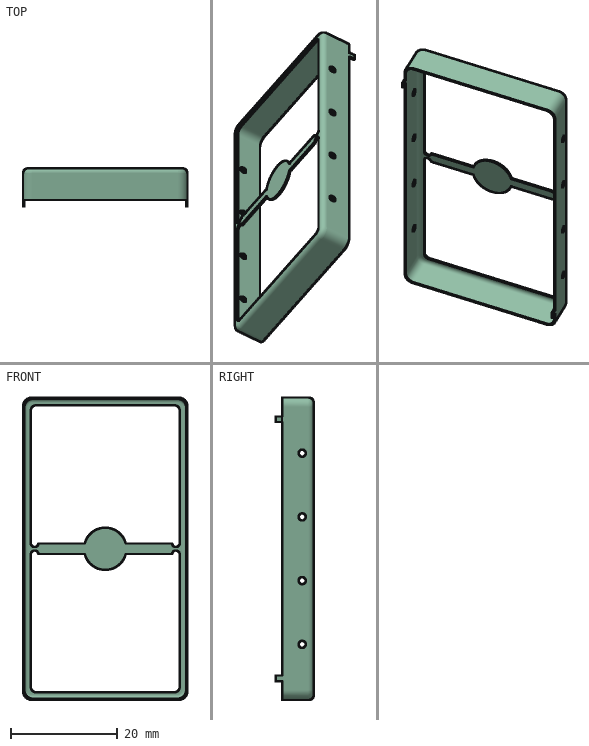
import cadquery as cq

WIDTH = 31.0
HEIGHT = 57.0
DEPTH = 6.0
SHEET = 0.3
CORNER_RADIUS = 1.8
BACK_EDGE_RADIUS = 1.0

LIP_WIDTH = 1.5
OPENING_CORNER_RADIUS = 1.0

STRIP_WIDTH = 2.0
DISC_DIAMETER = 8.0
NOTCH_RADIUS = 0.7
NECK_WIDTH = 0.7

HOLE_DIAMETER = 1.3
HOLE_PITCH = 12.0
HOLE_COUNT = 4
HOLE_FROM_BACK = 2.2

TAB_WIDTH = 1.1
TAB_LENGTH = 1.2
TAB_Z = 24.4


def rounded_block(inset, back_y, front_y, corner_radius):
    """Block inset from the outer outline, with its four Y-parallel edges rounded."""
    return (
        cq.Workplane("XZ", origin=(0, back_y, 0))
        .rect(WIDTH - 2 * inset, HEIGHT - 2 * inset)
        .extrude(back_y - front_y)
        .edges("|Y")
        .fillet(corner_radius)
    )


def make_frame():
    """Thin tray with rounded back edges and a large opening in its back."""
    outer = rounded_block(0, 0, -DEPTH, CORNER_RADIUS).faces(">Y").edges().fillet(BACK_EDGE_RADIUS)
    cavity = rounded_block(SHEET, -SHEET, -DEPTH, CORNER_RADIUS - SHEET)
    cavity = cavity.faces(">Y").edges().fillet(BACK_EDGE_RADIUS - SHEET)
    opening = rounded_block(LIP_WIDTH, 0, -DEPTH, OPENING_CORNER_RADIUS)
    return outer.cut(cavity).cut(opening)


def back_plate(length, width):
    """Rectangular plate of sheet thickness, flush with the back face."""
    return cq.Workplane("XZ").rect(length, width).extrude(SHEET)


def disc_plate(x, z, radius):
    """Round plate of sheet thickness, flush with the back face."""
    return cq.Workplane("XZ").center(x, z).circle(radius).extrude(SHEET)


def make_cross_strip():
    """Strip across the opening, necked at both ends, with a disc at its centre."""
    opening_width = WIDTH - 2 * LIP_WIDTH
    strip = back_plate(opening_width, STRIP_WIDTH)
    notch_x = opening_width / 2 - NOTCH_RADIUS
    notch_z = NECK_WIDTH / 2 + NOTCH_RADIUS
    for side_x in (-1, 1):
        for side_z in (-1, 1):
            strip = strip.cut(disc_plate(side_x * notch_x, side_z * notch_z, NOTCH_RADIUS))
    return strip.union(disc_plate(0, 0, DISC_DIAMETER / 2))


def make_side_holes():
    """Pins along X that pierce both side walls."""
    return (
        cq.Workplane("YZ", origin=(-WIDTH / 2, -HOLE_FROM_BACK, 0))
        .rarray(1, HOLE_PITCH, 1, HOLE_COUNT)
        .circle(HOLE_DIAMETER / 2)
        .extrude(WIDTH)
    )


def make_tab(side):
    """Tab extending a side wall past the open edge; side is -1 for -X and 1 for +X."""
    centre_x = side * (WIDTH - SHEET) / 2
    centre_y = -DEPTH - TAB_LENGTH / 2
    return cq.Workplane("XY").box(SHEET, TAB_LENGTH, TAB_WIDTH).translate((centre_x, centre_y, -side * TAB_Z))


result = make_frame().union(make_cross_strip()).cut(make_side_holes())
for side in (-1, 1):
    result = result.union(make_tab(side))